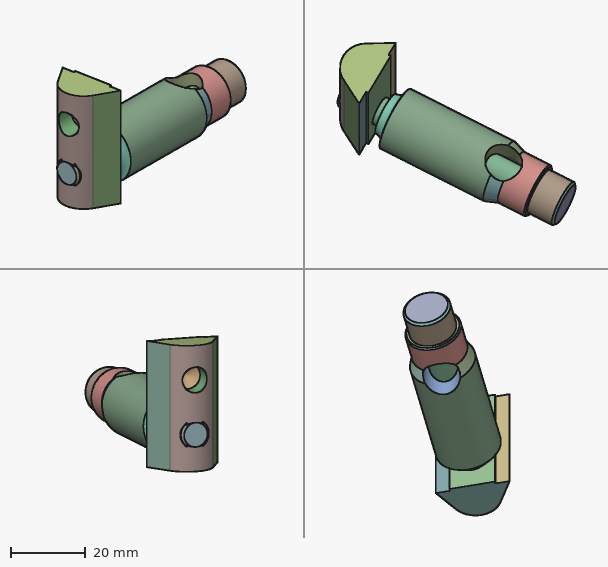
import cadquery as cq
import math


total_length = 68.0
shank_dia = 8.0
tip_chamfer = 0.7
head_dia = 13.0
head_height = 8.0
head_chamfer = 0.6

sleeve_dia = 18.0
collar_dia = 15.4
collar_chamfer = 0.4
collar_length = 8.4
cone_length = 3.7
sleeve_length = 46.9
cove_radius = 3.0
cross_hole_dia = 10.0
cross_hole_from_head_end = 10.8

nut_width = 20.3
nut_height = 34.5
nut_depth = 11.15
ridge_width = 12.5
ridge_height = 0.7
nose_radius = 7.1
flank_angle = math.radians(60)
screw_above_nut_bottom = 10.05
blind_hole_dia = 7.0
blind_hole_spacing = 14.95
blind_hole_depth = 6.1
drill_point_angle = math.radians(118)

sleeve_rear = total_length - head_height
sleeve_front = sleeve_rear - sleeve_length
nut_bottom = -screw_above_nut_bottom


def y_cylinder(diameter, start, end):
    """Cylinder on the screw axis between two Y positions."""
    plane = cq.Workplane("XZ", origin=(0, start, 0))
    return plane.circle(diameter / 2).extrude(start - end)


def make_screw():
    shank = y_cylinder(shank_dia, 0, sleeve_rear).faces("<Y").chamfer(tip_chamfer)
    head = y_cylinder(head_dia, sleeve_rear, total_length).faces(">Y").edges().chamfer(head_chamfer)
    return shank.union(head)


def make_sleeve():
    bore_r = shank_dia / 2
    sleeve_r = sleeve_dia / 2
    collar_r = collar_dia / 2
    cone_rear = sleeve_rear - collar_length
    cove_offset = cove_radius * math.sqrt(0.5)
    body = (
        cq.Workplane("XY")
        .moveTo(bore_r, sleeve_front)
        .lineTo(sleeve_r - cove_radius, sleeve_front)
        .threePointArc(
            (sleeve_r - cove_offset, sleeve_front + cove_offset),
            (sleeve_r, sleeve_front + cove_radius),
        )
        .lineTo(sleeve_r, cone_rear - cone_length)
        .lineTo(collar_r, cone_rear)
        .lineTo(collar_r, sleeve_rear - collar_chamfer)
        .lineTo(collar_r - collar_chamfer, sleeve_rear)
        .lineTo(bore_r, sleeve_rear)
        .close()
        .revolve(360, (0, 0, 0), (0, 1, 0))
    )
    cross_hole = (
        cq.Workplane("XY")
        .center(0, sleeve_rear - cross_hole_from_head_end)
        .circle(cross_hole_dia / 2)
        .extrude(sleeve_dia, both=True)
    )
    return body.cut(cross_hole)


def make_blind_hole():
    """Drilled hole with a conical bottom, entering from the nose of the nut."""
    radius = blind_hole_dia / 2
    point_length = radius / math.tan(drill_point_angle / 2)
    return (
        cq.Workplane("XY")
        .lineTo(radius, 0)
        .lineTo(radius, blind_hole_depth)
        .lineTo(0, blind_hole_depth + point_length)
        .close()
        .revolve(360, (0, 0, 0), (0, 1, 0))
        .translate((0, 0, blind_hole_spacing))
    )


def make_slot_nut():
    half_width = nut_width / 2
    half_ridge = ridge_width / 2
    shoulder_y = nut_depth - ridge_height
    nose_x = nose_radius * math.sin(flank_angle)
    nose_y = nose_radius * (1 - math.cos(flank_angle))
    body = (
        cq.Workplane("XY", origin=(0, 0, nut_bottom))
        .moveTo(-half_ridge, nut_depth)
        .lineTo(half_ridge, nut_depth)
        .lineTo(half_ridge, shoulder_y)
        .lineTo(half_width, shoulder_y)
        .lineTo(nose_x, nose_y)
        .threePointArc((0, 0), (-nose_x, nose_y))
        .lineTo(-half_width, shoulder_y)
        .lineTo(-half_ridge, shoulder_y)
        .close()
        .extrude(nut_height)
    )
    return body.cut(make_blind_hole())


screw = make_screw()
sleeve = make_sleeve()
slot_nut = make_slot_nut().cut(screw)

result = cq.Compound.makeCompound([screw.val(), sleeve.val(), slot_nut.val()])